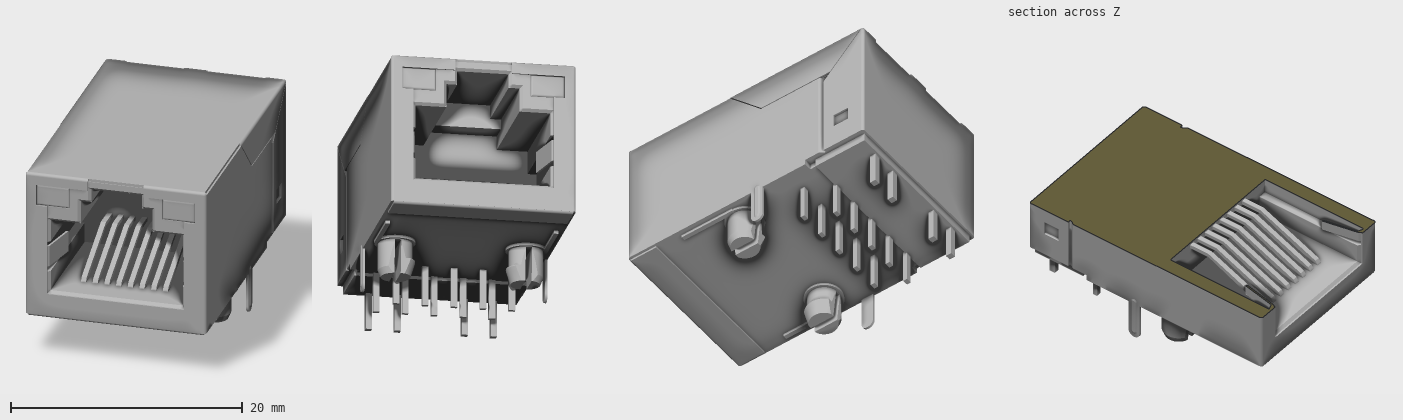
import cadquery as cq
import math


shield_width = 16.25
shield_length = 25.3
shield_top = 13.5
shield_bottom = 0.2
edge_radius = 0.25
sheet = 0.25
half_width = shield_width / 2
sheet_underside = shield_top - sheet

rear_cut_start = 19.05
rear_shield_bottom = 0.74
rear_housing_start = 19.8
rear_housing_end = 25.05
housing_bottom = -0.08
housing_half_width = 7.62
front_lip_length = 2.85

front_notch_width = 5.0
front_notch_depth = 0.22
side_notch_depth = 0.17
side_notch_end = 11.0
rear_notch_width = 5.26
rear_notch_depth = 0.37
rear_notch_x = 3.64

panel_bottom = 9.95
panel_front = side_notch_end
panel_rear = 25.05
seam_gap = 0.1
seam_depth = 0.2
crease_front = 20.44
crease_rear = 21.05
crease_depth = 0.28
crease_bend_share = 0.4
latch_window_center = (22.87, 3.72)
latch_window_size = (1.55, 1.34)
latch_window_depth = 0.25

insert_recess = 0.15
insert_top = 12.45
port_half_width = 6.17
port_bottom = 2.25
port_shoulder = 9.37
key_half_width = 3.46
key_shoulder = 11.47
latch_half_width = front_notch_width / 2
latch_top = 12.7
port_chamfer = 0.24
port_depth = 11.0
latch_depth = 9.0
latch_wall_bottom = 10.35

led_width = 3.0
led_height = 1.95
led_x = 5.65
led_radius = 0.2
led_recess = 0.1

spring_slot_bottom = 4.3
spring_slot_top = 7.1
spring_slot_half_width = 6.7
spring_bottom = 4.78
spring_top = 6.68
spring_end_x = 5.32
spring_lead_in = 0.15
spring_end_y = 3.75
spring_thickness = 0.2

contact_count = 8
contact_pitch = 1.05
contact_width = 0.46
contact_thickness = 0.35
contact_front = 3.0
contact_toe = 0.25
contact_rear = 9.0
contact_top = 5.5
contact_nose_top = 2.88

pin_bottom = -3.33
pin_width = 0.55
pin_thickness = 0.4
pin_pitch = 2.54
pins_per_row = 5
row_stagger = pin_pitch / 4
signal_rows = ((17.2, row_stagger), (19.75, -row_stagger))
led_pin_y = 24.58
led_pin_thickness = 0.57
led_pin_x = (2.95, 2.95 + pin_pitch)

tab_y = 13.87
tab_width = 1.22
tab_bottom = -3.55
tab_thickness = 0.22
rib_width = 0.62
rib_top = 0.72
rib_bottom = -3.15
overall_width = 16.4
rib_height = (overall_width - shield_width) / 2

post_x = 5.75
post_y = 10.82
post_radius = 1.5
post_bottom = -3.08
post_chamfer_top = -2.48
post_tip_radius = 1.25
barb_top = -1.7
barb_rim = 0.1
barb_radius = 1.74
barb_tip_radius = 1.35
post_slot = 0.55
post_slot_top = -0.1
post_tip_half_depth = 1.2
flange_radius = 1.77
flange_bottom = -0.05
pad_front = 5.4
pad_outer_x = 7.6
pad_width = 0.4


def block(x0, x1, y0, y1, z0, z1):
    return cq.Workplane("XY").box(x1 - x0, y1 - y0, z1 - z0, centered=False).translate((x0, y0, z0))


def on_both_sides(shape):
    return shape.union(shape.mirror("YZ"))


def front_prism(points, y0, y1, taper=0):
    """Prism with an XZ outline, running back from y0 to y1."""
    plane = cq.Plane(origin=(0, y0, 0), xDir=(-1, 0, 0), normal=(0, 1, 0))
    mirrored = [(-x, z) for x, z in points]
    return cq.Workplane(plane).polyline(mirrored).close().extrude(y1 - y0, taper=taper)


def side_prism(points, x0, x1):
    """Prism with a YZ outline, running from x0 to x1."""
    return cq.Workplane("YZ", origin=(x0, 0, 0)).polyline(points).close().extrude(x1 - x0)


def shield():
    body = block(-half_width, half_width, 0, shield_length, shield_bottom, shield_top)
    body = body.edges("|Z or >Z").fillet(edge_radius)
    body = body.cut(
        block(-half_width, half_width, rear_cut_start, shield_length, shield_bottom, rear_shield_bottom)
    )
    inner = half_width - sheet
    lip = block(-inner, inner, 0, front_lip_length, 0, 2 * sheet)
    lip = lip.edges("<Y and <Z").fillet(edge_radius)
    step = housing_half_width - sheet
    inner_floor = block(-step, step, rear_cut_start, rear_housing_start, shield_bottom, rear_shield_bottom)
    housing = block(
        -housing_half_width,
        housing_half_width,
        rear_housing_start,
        rear_housing_end,
        housing_bottom,
        rear_shield_bottom,
    )
    return body.union(lip).union(inner_floor).union(housing)


def lid_notches():
    half_front = front_notch_width / 2
    notches = block(-half_front, half_front, 0, front_notch_depth, sheet_underside, shield_top)
    side = block(
        half_width - side_notch_depth, half_width, edge_radius, side_notch_end, sheet_underside, shield_top
    )
    rear_points = [
        (shield_length - rear_notch_depth, shield_top),
        (shield_length - rear_notch_depth, sheet_underside),
        (shield_length - sheet, sheet_underside),
        (shield_length, sheet_underside - sheet),
        (shield_length, shield_top),
    ]
    rear = side_prism(
        rear_points, rear_notch_x - rear_notch_width / 2, rear_notch_x + rear_notch_width / 2
    )
    return notches.union(on_both_sides(side.union(rear)))


def lid_panel(gap):
    """Folded side panel with 45 degree ends, shrunk by the gap on its ends and bottom."""
    bottom = panel_bottom + gap
    shift = gap * math.sqrt(2)
    drop = sheet_underside - bottom
    points = [
        (panel_front + shift, sheet_underside),
        (panel_front + shift + drop, bottom),
        (panel_rear - shift - drop, bottom),
        (panel_rear - shift, sheet_underside),
    ]
    return side_prism(points, half_width - seam_depth, half_width)


def side_crease():
    """Joggle in front of the rear flap, with an S-shaped front wall."""
    inner = half_width - crease_depth
    length = crease_rear - crease_front
    middle_x = half_width - crease_bend_share * crease_depth
    middle_y = crease_front + crease_bend_share * length
    bend_radius = (length**2 + crease_depth**2) / (2 * crease_depth)
    outer_radius = crease_bend_share * bend_radius
    inner_radius = bend_radius - outer_radius
    groove = (
        cq.Workplane("XY", origin=(0, 0, rear_shield_bottom))
        .moveTo(half_width, crease_front)
        .radiusArc((middle_x, middle_y), -outer_radius)
        .radiusArc((inner, crease_rear), inner_radius)
        .lineTo(half_width, crease_rear)
        .close()
        .extrude(panel_bottom - rear_shield_bottom)
    )
    flap_corner_y = panel_rear - (sheet_underside - panel_bottom)
    corner = [
        (crease_rear, panel_bottom),
        (crease_rear, panel_bottom - (flap_corner_y - crease_rear)),
        (flap_corner_y, panel_bottom),
    ]
    return groove.union(side_prism(corner, inner, half_width))


def latch_window():
    y, z = latch_window_center
    length, height = latch_window_size
    return block(
        half_width - latch_window_depth,
        half_width,
        y - length / 2,
        y + length / 2,
        z - height / 2,
        z + height / 2,
    )


def port_outline(inset):
    right = [
        (port_half_width - inset, port_bottom + inset),
        (port_half_width - inset, port_shoulder - inset),
        (key_half_width - inset, port_shoulder - inset),
        (key_half_width - inset, key_shoulder - inset),
        (latch_half_width - inset, key_shoulder - inset),
        (latch_half_width - inset, latch_top - inset),
    ]
    left = [(-x, z) for x, z in reversed(right)]
    return right + left


def led_block(y0, y1):
    return block(
        led_x - led_width / 2, led_x + led_width / 2, y0, y1, insert_top - led_height, insert_top
    )


def port_cavity():
    recess = block(-port_half_width, port_half_width, 0, insert_recess, port_bottom, insert_top)
    recess = recess.union(
        block(-latch_half_width, latch_half_width, 0, insert_recess, insert_top, sheet_underside)
    )
    recess = recess.union(on_both_sides(led_block(0, led_recess + led_radius)))
    mouth = front_prism(port_outline(0), 0, insert_recess)
    chamfer_end = insert_recess + port_chamfer
    chamfer = front_prism(port_outline(0), insert_recess, chamfer_end, taper=45)
    bore = front_prism(port_outline(port_chamfer), chamfer_end, port_depth)
    latch_wall = block(
        -key_half_width, key_half_width, latch_depth, port_depth, latch_wall_bottom, latch_top
    )
    slot = block(
        0,
        spring_slot_half_width,
        insert_recess,
        port_depth,
        spring_slot_bottom,
        spring_slot_top,
    )
    return recess.union(mouth).union(chamfer).union(bore.cut(latch_wall)).union(on_both_sides(slot))


def indicator():
    """Indicator lens standing on the insert face, with rounded front edges."""
    return led_block(led_recess, led_recess + 2 * led_radius).faces("<Y").edges().fillet(led_radius)


def side_spring():
    """Strip folded in from the mouth edge, leaning towards the port centre."""
    bend_x = port_half_width - spring_lead_in
    bend_y = insert_recess + spring_lead_in
    points = [
        (port_half_width, insert_recess),
        (bend_x, bend_y),
        (spring_end_x, spring_end_y),
        (spring_end_x + spring_thickness, spring_end_y),
        (port_half_width, bend_y + spring_thickness),
        (spring_slot_half_width, bend_y),
        (spring_slot_half_width, insert_recess),
    ]
    return (
        cq.Workplane("XY", origin=(0, 0, spring_bottom))
        .polyline(points)
        .close()
        .extrude(spring_top - spring_bottom)
    )


def port_contacts():
    floor = port_bottom + port_chamfer
    profile = [
        (contact_front - contact_toe, floor),
        (contact_front, contact_nose_top),
        (contact_rear, contact_top),
        (port_depth, contact_top),
        (port_depth, contact_top - contact_thickness),
        (contact_rear, contact_top - contact_thickness),
        (contact_front + contact_thickness, floor),
    ]
    contacts = cq.Workplane("XY")
    for index in range(contact_count):
        x = (index - (contact_count - 1) / 2) * contact_pitch
        contacts = contacts.union(side_prism(profile, x - contact_width / 2, x + contact_width / 2))
    return contacts


def pin(x, y, thickness):
    return block(
        x - pin_width / 2,
        x + pin_width / 2,
        y - thickness / 2,
        y + thickness / 2,
        pin_bottom,
        rear_shield_bottom,
    )


def solder_pins():
    pins = cq.Workplane("XY")
    for y, offset in signal_rows:
        for index in range(pins_per_row):
            x = (index - (pins_per_row - 1) / 2) * pin_pitch + offset
            pins = pins.union(pin(x, y, pin_thickness))
    for x in led_pin_x:
        pins = pins.union(on_both_sides(pin(x, led_pin_y, led_pin_thickness)))
    return pins


def upright_slot(width, z0, z1, x0, x1):
    """Plate with round ends standing at the tab position, from x0 to x1."""
    height = z1 - z0
    return (
        cq.Workplane("YZ", origin=(x0, tab_y, (z0 + z1) / 2))
        .slot2D(height, width, 90)
        .extrude(x1 - x0)
    )


def ground_tab():
    plate_top = shield_bottom + tab_width
    plate = upright_slot(tab_width, tab_bottom, plate_top, half_width - tab_thickness, half_width)
    rib = upright_slot(rib_width, rib_bottom, rib_top, half_width - tab_thickness / 2, overall_width / 2)
    rib = rib.faces(">X").edges().chamfer(rib_height, 2 * rib_height)
    return plate.union(rib)


def revolved(points):
    return cq.Workplane("XZ").polyline(points).close().revolve(360, (0, 0, 0), (0, 1, 0))


def snap_post():
    """Split post: plain outer half, barbed inner half, wedge-cut front and back."""
    outer = revolved([
        (0, shield_bottom),
        (post_radius, shield_bottom),
        (post_radius, post_chamfer_top),
        (post_tip_radius, post_bottom),
        (0, post_bottom),
    ])
    inner = revolved([
        (0, shield_bottom),
        (post_radius, shield_bottom),
        (post_radius, barb_top),
        (barb_radius, barb_top),
        (barb_radius, barb_top - barb_rim),
        (barb_tip_radius, post_bottom),
        (0, post_bottom),
    ])
    reach = 2 * post_radius
    outer = outer.intersect(block(0, reach, -reach, reach, post_bottom, shield_bottom))
    inner = inner.intersect(block(-reach, 0, -reach, reach, post_bottom, shield_bottom))
    wedge = side_prism(
        [
            (-post_radius, shield_bottom),
            (post_radius, shield_bottom),
            (post_radius, post_slot_top),
            (post_tip_half_depth, post_bottom),
            (-post_tip_half_depth, post_bottom),
            (-post_radius, post_slot_top),
        ],
        -reach,
        reach,
    )
    slot = block(-post_slot / 2, post_slot / 2, -reach, reach, post_bottom, post_slot_top)
    flange = cq.Workplane("XY", origin=(0, 0, flange_bottom)).circle(flange_radius)
    flange = flange.extrude(shield_bottom - flange_bottom)
    post = outer.union(inner).intersect(wedge).cut(slot).union(flange)
    return post.translate((post_x, post_y, 0))


def bottom_pad():
    return block(
        pad_outer_x - pad_width, pad_outer_x, pad_front, post_y, housing_bottom, shield_bottom
    )


side_cuts = lid_panel(0).cut(lid_panel(seam_gap)).union(side_crease()).union(latch_window())
side_parts = indicator().union(side_spring()).union(ground_tab()).union(snap_post()).union(bottom_pad())

result = shield().cut(lid_notches()).cut(on_both_sides(side_cuts)).cut(port_cavity())
result = result.union(on_both_sides(side_parts)).union(port_contacts()).union(solder_pins())